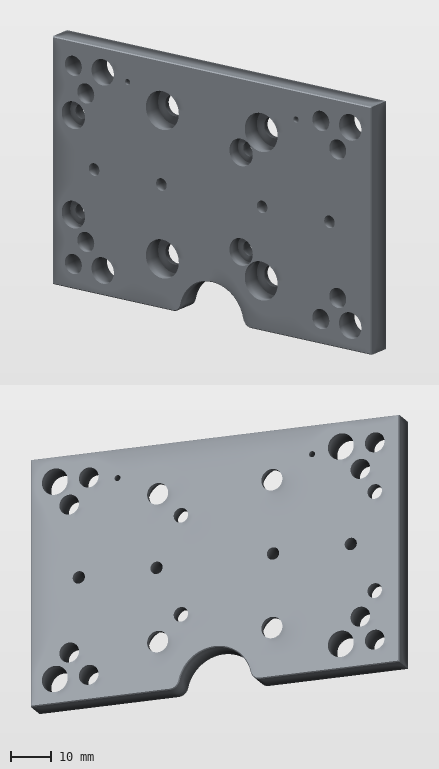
import cadquery as cq
import math

WIDTH = 96.5
THICKNESS = 6.4
HEIGHT = 63.5

EDGE_CHAMFER = 0.24

NOTCH_RADIUS = 9.6
NOTCH_CORNER_RADIUS = 2.5

SMALL_CORNER_DIAMETER = 5.1
LARGE_CORNER_DIAMETER = 6.8
CENTRE_LINE_DIAMETER = 3.2
PIN_DIAMETER = 1.5

LARGE_SCREW_DIAMETER = 5.5
LARGE_HEAD_DIAMETER = 9.9
LARGE_HEAD_DEPTH = 5.0
SMALL_SCREW_DIAMETER = 3.8
SMALL_HEAD_DIAMETER = 7.0
SMALL_HEAD_DEPTH = 3.5

OUTER_X = 41.9
MIDDLE_X = 38.1
INNER_X = 33.0
CENTRE_LINE_X = (15.25, 35.6)
PIN_X = 25.5
LARGE_SCREW_X = 15.0
SMALL_SCREW_X = (-OUTER_X, 8.9)
OUTER_Z = 25.4
MIDDLE_Z = 19.0
SMALL_SCREW_Z = 12.7
PIN_Z = 24.3


def pairs(columns, z):
    """Points in each column at +z and -z."""
    return [(x, side * z) for x in columns for side in (-1, 1)]


def mirrored(x, z):
    """Four points placed symmetrically about both centre lines."""
    return pairs((-x, x), z)


def cylinders(points, diameter, depth):
    """Cutters running from the front face to the given depth."""
    front = cq.Workplane("XZ", origin=(0, -THICKNESS / 2, 0))
    return front.pushPoints(points).circle(diameter / 2).extrude(-depth)


def make_plate():
    """Plate outline with the notch, whose arc blends into rounded corners at the bottom edge."""
    bottom = -HEIGHT / 2
    side = WIDTH / 2
    corner_z = bottom + NOTCH_CORNER_RADIUS
    centre_distance = NOTCH_RADIUS + NOTCH_CORNER_RADIUS
    blend_angle = math.asin(NOTCH_CORNER_RADIUS / centre_distance)
    corner_x = centre_distance * math.cos(blend_angle)
    blend_x = NOTCH_RADIUS * math.cos(blend_angle)
    blend_z = bottom + NOTCH_RADIUS * math.sin(blend_angle)

    mid_angle = (math.pi / 2 + blend_angle) / 2
    mid_x = corner_x - NOTCH_CORNER_RADIUS * math.cos(mid_angle)
    mid_z = corner_z - NOTCH_CORNER_RADIUS * math.sin(mid_angle)

    outline = (
        cq.Workplane("XZ", origin=(0, THICKNESS / 2, 0))
        .moveTo(-side, bottom)
        .lineTo(-corner_x, bottom)
        .threePointArc((-mid_x, mid_z), (-blend_x, blend_z))
        .threePointArc((0, bottom + NOTCH_RADIUS), (blend_x, blend_z))
        .threePointArc((mid_x, mid_z), (corner_x, bottom))
        .lineTo(side, bottom)
        .lineTo(side, -bottom)
        .lineTo(-side, -bottom)
        .close()
    )
    return outline.extrude(THICKNESS).faces("<Y or >Y").edges().chamfer(EDGE_CHAMFER)


def drill(body, points, diameter):
    """Plain through holes."""
    return body.cut(cylinders(points, diameter, THICKNESS))


def counterbore(body, points, diameter, head_diameter, head_depth):
    """Through holes with a flat-bottomed recess on the front face."""
    return drill(body, points, diameter).cut(cylinders(points, head_diameter, head_depth))


small_corner_points = pairs((-OUTER_X, INNER_X), OUTER_Z) + mirrored(MIDDLE_X, MIDDLE_Z)
large_corner_points = pairs((-INNER_X, OUTER_X), OUTER_Z)
centre_line_points = [(side * x, 0) for x in CENTRE_LINE_X for side in (-1, 1)]
large_screw_points = mirrored(LARGE_SCREW_X, MIDDLE_Z)
small_screw_points = pairs(SMALL_SCREW_X, SMALL_SCREW_Z)
pin_points = [(-PIN_X, PIN_Z), (PIN_X, PIN_Z)]

result = make_plate()
result = drill(result, small_corner_points, SMALL_CORNER_DIAMETER)
result = drill(result, large_corner_points, LARGE_CORNER_DIAMETER)
result = drill(result, centre_line_points, CENTRE_LINE_DIAMETER)
result = drill(result, pin_points, PIN_DIAMETER)
result = counterbore(result, large_screw_points, LARGE_SCREW_DIAMETER, LARGE_HEAD_DIAMETER, LARGE_HEAD_DEPTH)
result = counterbore(result, small_screw_points, SMALL_SCREW_DIAMETER, SMALL_HEAD_DIAMETER, SMALL_HEAD_DEPTH)